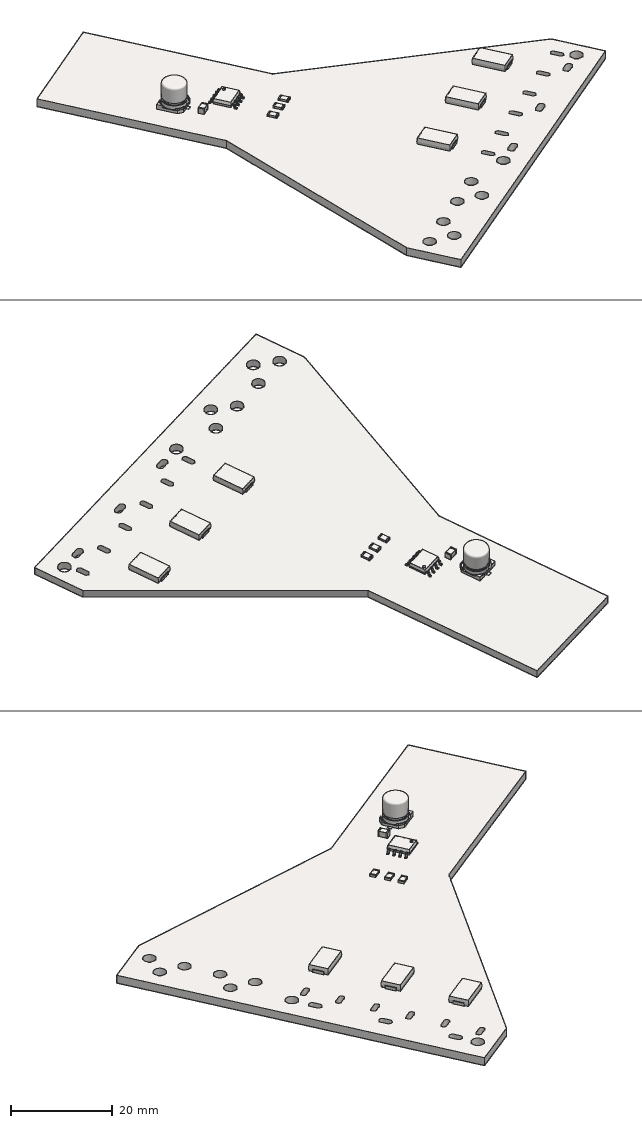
import cadquery as cq
BOARD_LENGTH = 98.5
BOARD_THICKNESS = 1.9
TOTAL_HEIGHT = 7.5
NECK_WIDTH = 25.1
NECK_LENGTH = 40.2
FLARE_END_X = 87.0
BOARD_WIDTH = 78.5
UPPER_SHOULDER = 31.4
BOARD_TOP_Y = NECK_WIDTH / 2 + UPPER_SHOULDER
BOARD_BOTTOM_Y = BOARD_TOP_Y - BOARD_WIDTH

HOLE_DIAMETER = 2.7
LOCATING_HOLE_X = 93.7
LOCATING_HOLE_YS = (40.6, 0.9)
STAGGER_PITCH = 3.7
STAGGER_X = 90.4
STAGGER_GROUP_YS = (-12.0, -27.1)

SLOT_LENGTH = 2.8
LONG_SLOT_WIDTH = 1.2
LONG_SLOT_X = 89.9
LONG_SLOT_FIRST_Y = 39.6
LONG_SLOT_COUNT = 6
SLOT_PITCH = 7.5
CROSS_SLOT_WIDTH = 1.5
CROSS_SLOT_COUNT = 3

MOULDED_X = 79.2
MOULDED_YS = (32.0, 17.5, 2.1)
MOULDED_LENGTH = 7.1
MOULDED_WIDTH = 4.2
MOULDED_HEIGHT = 1.5
MOULDED_WAIST_Z = 0.6
MOULDED_DRAFT = 0.1
TAB_SPAN = 7.4
TAB_WIDTH = 2.4
TAB_HEIGHT = 0.7

CHIP_X = 35.1
CHIP_Y = 0.5
CHIP_LENGTH = 4.9
CHIP_WIDTH = 4.0
CHIP_STANDOFF = 0.2
CHIP_WAIST_Z = 0.8
CHIP_HEIGHT = 1.5
CHIP_DRAFT = 0.2
LEAD_SPAN = 6.0
LEAD_WIDTH = 0.4
LEAD_THICKNESS = 0.2
LEAD_PITCH = 1.3
LEADS_PER_SIDE = 4
LEAD_FOOT = 0.3
LEAD_SLOPE_RUN = 0.2
PIN_MARK_DIAMETER = 0.6
PIN_MARK_DEPTH = 0.1
PIN_MARK_INSET = 0.7

CAN_X = 26.0
CAN_Y = -4.6
CAN_DIAMETER = 5.1
CAN_RADIUS = CAN_DIAMETER / 2
CAN_FILLET = 0.5
CAN_BOTTOM_Z = 0.6
GROOVE_BOTTOM_Z = 1.5
GROOVE_TOP_Z = 2.1
GROOVE_DEPTH = 0.3
BASE_SIDE = 5.3
BASE_HEIGHT = 1.1
BASE_CHAMFER = 0.9
BASE_RECESS_RADIUS = 3.0
CAN_TAB_SPAN = 6.5
CAN_TAB_WIDTH = 0.9
CAN_TAB_THICKNESS = 0.05

CERAMIC_LENGTH = 2.1
CERAMIC_WIDTH = 1.3
TERMINAL_LENGTH = 0.3
TERMINAL_LIP = 0.02
RESISTOR_HEIGHT = 0.5
RESISTOR_X = 45.6
RESISTOR_YS = (4.9, 2.1, -1.1)
CERAMIC_CAPACITOR_HEIGHT = 1.3
CERAMIC_CAPACITOR_X = 32.1
CERAMIC_CAPACITOR_Y = -4.6


def box_on_board(length, width, height, bottom=0.0):
    """Box centred in X and Y with its underside at the given height."""
    return cq.Workplane("XY", origin=(0, 0, bottom)).box(length, width, height, centered=(True, True, False))


def drafted_body(length, width, bottom, waist, top, draft):
    """Moulded block that is widest at its parting line and leans inward above and below it."""
    section = cq.Workplane("XY", origin=(0, 0, waist)).rect(length, width).workplane(offset=top - waist)
    upper = section.rect(length - 2 * draft, width - 2 * draft).loft(combine=True)
    section = cq.Workplane("XY", origin=(0, 0, bottom)).rect(length - 2 * draft, width - 2 * draft)
    lower = section.workplane(offset=waist - bottom).rect(length, width).loft(combine=True)
    return upper.union(lower)


def place(body, x, y):
    """Set a component down on the board's upper face."""
    return body.translate((x, y, BOARD_THICKNESS))


def make_board():
    half_neck = NECK_WIDTH / 2
    outline = [
        (0, -half_neck),
        (NECK_LENGTH, -half_neck),
        (FLARE_END_X, BOARD_BOTTOM_Y),
        (BOARD_LENGTH, BOARD_BOTTOM_Y),
        (BOARD_LENGTH, BOARD_TOP_Y),
        (FLARE_END_X, BOARD_TOP_Y),
        (NECK_LENGTH, half_neck),
        (0, half_neck),
    ]
    board = cq.Workplane("XY").polyline(outline).close().extrude(BOARD_THICKNESS)

    hole_points = [(LOCATING_HOLE_X, y) for y in LOCATING_HOLE_YS]
    for y in STAGGER_GROUP_YS:
        hole_points.append((STAGGER_X, y + STAGGER_PITCH))
        hole_points.append((STAGGER_X + STAGGER_PITCH, y))
        hole_points.append((STAGGER_X, y - STAGGER_PITCH))
    holes = cq.Workplane("XY").pushPoints(hole_points).circle(HOLE_DIAMETER / 2).extrude(BOARD_THICKNESS)

    long_points = [(LONG_SLOT_X, LONG_SLOT_FIRST_Y - i * SLOT_PITCH) for i in range(LONG_SLOT_COUNT)]
    long_slots = cq.Workplane("XY").pushPoints(long_points).slot2D(SLOT_LENGTH, LONG_SLOT_WIDTH)

    cross_first_y = LONG_SLOT_FIRST_Y - SLOT_PITCH / 2
    cross_points = [(LOCATING_HOLE_X, cross_first_y - 2 * i * SLOT_PITCH) for i in range(CROSS_SLOT_COUNT)]
    cross_slots = cq.Workplane("XY").pushPoints(cross_points).slot2D(SLOT_LENGTH, CROSS_SLOT_WIDTH, 90)

    board = board.cut(holes)
    board = board.cut(long_slots.extrude(BOARD_THICKNESS))
    return board.cut(cross_slots.extrude(BOARD_THICKNESS))


def make_moulded_capacitor():
    body = drafted_body(MOULDED_LENGTH, MOULDED_WIDTH, 0, MOULDED_WAIST_Z, MOULDED_HEIGHT, MOULDED_DRAFT)
    return body.union(box_on_board(TAB_SPAN, TAB_WIDTH, TAB_HEIGHT))


def make_chip():
    body = drafted_body(CHIP_WIDTH, CHIP_LENGTH, CHIP_STANDOFF, CHIP_WAIST_Z, CHIP_HEIGHT, CHIP_DRAFT)

    tip = LEAD_SPAN / 2
    heel = tip - LEAD_FOOT
    knee = heel - LEAD_SLOPE_RUN
    shoulder_top = CHIP_WAIST_Z + LEAD_THICKNESS / 2
    shoulder_bottom = shoulder_top - LEAD_THICKNESS
    right_half = [
        (knee, shoulder_top),
        (heel, LEAD_THICKNESS),
        (tip, LEAD_THICKNESS),
        (tip, 0),
        (heel - LEAD_THICKNESS, 0),
        (knee - LEAD_THICKNESS, shoulder_bottom),
    ]
    left_half = [(-x, z) for x, z in reversed(right_half)]
    for i in range(LEADS_PER_SIDE):
        y = (i - (LEADS_PER_SIDE - 1) / 2) * LEAD_PITCH
        strip = cq.Workplane("XZ", origin=(0, y, 0)).polyline(right_half + left_half).close()
        body = body.union(strip.extrude(LEAD_WIDTH / 2, both=True))

    mark_x = -CHIP_WIDTH / 2 + CHIP_DRAFT + PIN_MARK_INSET
    mark_y = CHIP_LENGTH / 2 - CHIP_DRAFT - PIN_MARK_INSET
    mark = cq.Workplane("XY", origin=(mark_x, mark_y, CHIP_HEIGHT)).circle(PIN_MARK_DIAMETER / 2)
    return body.cut(mark.extrude(-PIN_MARK_DEPTH))


def make_can_capacitor():
    base = box_on_board(BASE_SIDE, BASE_SIDE, BASE_HEIGHT).edges("|Z and >X").chamfer(BASE_CHAMFER)
    recess = cq.Workplane("XY", origin=(0, 0, CAN_BOTTOM_Z)).circle(BASE_RECESS_RADIUS).extrude(BASE_HEIGHT)
    base = base.cut(recess)

    top = TOTAL_HEIGHT - BOARD_THICKNESS
    can = cq.Workplane("XY", origin=(0, 0, CAN_BOTTOM_Z)).circle(CAN_RADIUS).extrude(top - CAN_BOTTOM_Z)
    can = can.faces(">Z").edges().fillet(CAN_FILLET)
    groove = cq.Workplane("XY", origin=(0, 0, GROOVE_BOTTOM_Z)).circle(CAN_RADIUS)
    groove = groove.circle(CAN_RADIUS - GROOVE_DEPTH).extrude(GROOVE_TOP_Z - GROOVE_BOTTOM_Z)
    can = can.cut(groove)

    tabs = box_on_board(CAN_TAB_SPAN, CAN_TAB_WIDTH, CAN_TAB_THICKNESS)
    return base.union(can).union(tabs)


def make_ceramic_block(height):
    """Two-terminal block along X whose end caps stand slightly proud of the middle."""
    block = box_on_board(
        CERAMIC_LENGTH - TERMINAL_LENGTH,
        CERAMIC_WIDTH - 2 * TERMINAL_LIP,
        height - 2 * TERMINAL_LIP,
        TERMINAL_LIP,
    )
    cap_x = (CERAMIC_LENGTH - TERMINAL_LENGTH) / 2
    for x in (-cap_x, cap_x):
        block = block.union(box_on_board(TERMINAL_LENGTH, CERAMIC_WIDTH, height).translate((x, 0, 0)))
    return block


board = make_board()
moulded_capacitors = [place(make_moulded_capacitor(), MOULDED_X, y) for y in MOULDED_YS]
chip = place(make_chip(), CHIP_X, CHIP_Y)
can_capacitor = place(make_can_capacitor(), CAN_X, CAN_Y)
resistors = [place(make_ceramic_block(RESISTOR_HEIGHT), RESISTOR_X, y) for y in RESISTOR_YS]
upright_block = make_ceramic_block(CERAMIC_CAPACITOR_HEIGHT).rotate((0, 0, 0), (0, 0, 1), 90)
ceramic_capacitor = place(upright_block, CERAMIC_CAPACITOR_X, CERAMIC_CAPACITOR_Y)

result = cq.Compound.makeCompound(
    [
        board.val(),
        *[capacitor.val() for capacitor in moulded_capacitors],
        chip.val(),
        can_capacitor.val(),
        *[resistor.val() for resistor in resistors],
        ceramic_capacitor.val(),
    ]
)